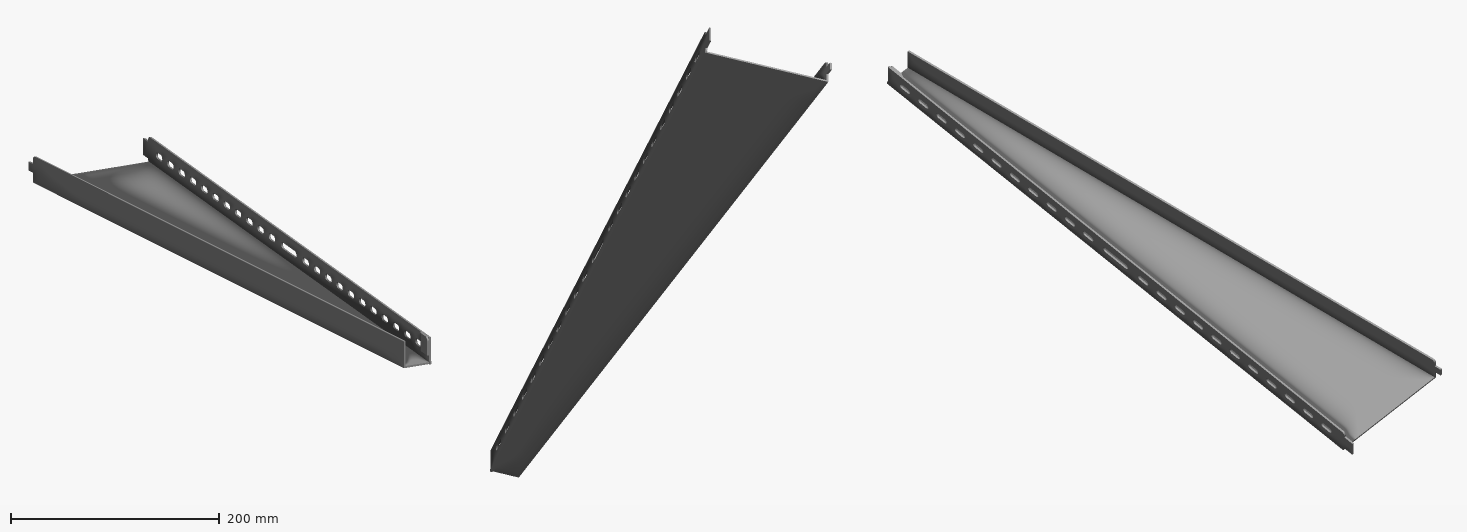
import cadquery as cq
import math

length = 635.0
width = 126.5
height = 27.0
sheet = 2.0

back_wall_start = 11.0
floor_start = 13.0
floor_end = length - 1.0
narrow_depth = 28.5
corner_radius = 4.0
toe_height = 3.0

pad_start = 620.0
pad_ramp = 6.0
pad_bottom = 9.0

back_tab_bottom = 4.5
back_tab_top = 21.5
front_tab_start = 6.0
front_tab_bottom = 10.0
front_tab_top = 19.0

slot_span = 575.0
slots_per_side = 11
middle_gap = 1.5
slot_pitch = slot_span / 2 / (middle_gap + slots_per_side - 1)
slot_length = 14.0
long_slot_length = 33.5
slot_height = 6.5
slot_level = 14.0

taper_slope = (width - narrow_depth) / (floor_end - front_tab_start)
taper_angle = math.atan(taper_slope)


def front_face_y(x):
    """Y of the front wall's outer face at a given X."""
    return -width + taper_slope * (x - front_tab_start)


def block(x0, x1, y0, y1, z0, z1):
    """Box between two opposite corners."""
    return cq.Workplane("XY").box(x1 - x0, y1 - y0, z1 - z0, centered=False).translate((x0, y0, z0))


def prism(outline, z0, z1):
    """Upright prism over a plan outline."""
    return cq.Workplane("XY").workplane(offset=z0).polyline(outline).close().extrude(z1 - z0)


def make_floor():
    outline = [
        (floor_start, 0),
        (floor_end, 0),
        (floor_end, front_face_y(floor_end)),
        (floor_start, front_face_y(floor_start)),
    ]
    return prism(outline, 0, sheet)


def make_back_wall():
    wall = block(back_wall_start, floor_end, -sheet, 0, 0, height)
    wall = wall.edges("|Y and <X").fillet(corner_radius)
    toe = block(floor_end - sheet, length, -sheet, 0, 0, toe_height)
    tab = block(0, back_wall_start + sheet, -sheet, 0, back_tab_bottom, back_tab_top)
    return wall.union(toe).union(tab).union(make_pad())


def make_pad():
    """Thickened inner side of the back wall, blending smoothly out of its face."""
    ramp = cq.Workplane("XY").workplane(offset=pad_bottom).moveTo(pad_start - pad_ramp, -sheet)
    ramp = ramp.spline([(pad_start, -2 * sheet)], tangents=[(1, 0), (1, 0)], includeCurrent=True)
    pad = ramp.lineTo(floor_end, -2 * sheet).lineTo(floor_end, -sheet).close().extrude(height - pad_bottom)
    return pad.edges("|Y and >X and >Z").fillet(corner_radius)


def front_strip(x0, x1, z0, z1):
    """Piece of the tapering front wall between two X positions."""
    inward = sheet / math.cos(taper_angle)
    outline = [
        (x0, front_face_y(x0)),
        (x1, front_face_y(x1)),
        (x1, front_face_y(x1) + inward),
        (x0, front_face_y(x0) + inward),
    ]
    return prism(outline, z0, z1)


def make_front_wall():
    wall = front_strip(floor_start, floor_end, 0, height)
    wall = wall.edges("<X and >Z").fillet(corner_radius)
    tab = front_strip(front_tab_start, floor_start + sheet, front_tab_bottom, front_tab_top)
    return wall.union(tab)


def make_slots():
    middle = (back_wall_start + length) / 2
    offsets = [(middle_gap + i) * slot_pitch for i in range(slots_per_side)]
    centers = [(middle + side * offset, slot_level) for side in (-1, 1) for offset in offsets]
    depth = 3 * sheet
    plane = cq.Workplane("XZ")
    short_slots = plane.pushPoints(centers).slot2D(slot_length, slot_height).extrude(depth)
    long_slot = plane.center(middle, slot_level).slot2D(long_slot_length, slot_height).extrude(depth)
    return short_slots.union(long_slot)


result = make_floor().union(make_back_wall().cut(make_slots())).union(make_front_wall())